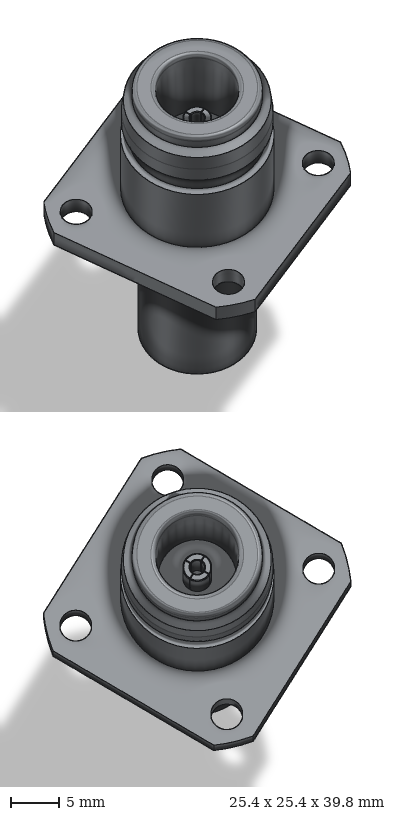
import cadquery as cq


flange_width = 25.4
flange_thickness = 2.05
flange_corner_radius = 16.0
hole_spacing = 18.3
hole_diameter = 3.3

top_z = 18.6
nose_radius = 6.75
nose_edge_round = 0.5
shoulder_top_z = 17.1
shoulder_bottom_z = 16.55
shoulder_radius = 7.65
thread_radius = 7.85
thread_start_z = 14.85
thread_end_z = 13.05
neck_top_z = 12.3
neck_radius = 7.15
body_radius = 7.95
body_top_z = 10.8

tail_radius = 6.3
tail_end_z = -6.7
tail_end_round = 0.55
ferrule_radius = 6.15
ferrule_end_z = -21.2

bore_mouth_radius = 4.3
bore_mouth_round = 0.5
bore_floor_radius = 4.07
bore_depth = 9.0
contact_radius = 1.5
contact_socket_radius = 0.75
contact_tip_depth = 5.0
contact_slot_width = 0.1
contact_tip_chamfer = 0.1


def make_outer_body():
    """Turned outside profile, revolved about Z."""
    profile = (
        cq.Workplane("XZ")
        .moveTo(0, ferrule_end_z)
        .lineTo(ferrule_radius, ferrule_end_z)
        .lineTo(ferrule_radius, tail_end_z)
        .lineTo(tail_radius - tail_end_round, tail_end_z)
        .radiusArc((tail_radius, tail_end_z + tail_end_round), -tail_end_round)
        .lineTo(tail_radius, 0)
        .lineTo(body_radius, 0)
        .lineTo(body_radius, body_top_z)
        .lineTo(neck_radius, body_top_z)
        .lineTo(neck_radius, neck_top_z)
        .lineTo(thread_radius, thread_end_z)
        .lineTo(thread_radius, thread_start_z)
        .lineTo(shoulder_radius, shoulder_bottom_z)
        .lineTo(nose_radius, shoulder_top_z)
        .lineTo(nose_radius, top_z - nose_edge_round)
        .radiusArc((nose_radius - nose_edge_round, top_z), -nose_edge_round)
        .lineTo(0, top_z)
        .close()
    )
    return profile.revolve(360, (0, 0, 0), (0, 1, 0))


def make_flange():
    """Square plate with trimmed corners and four mounting holes."""
    plate = cq.Workplane("XY").rect(flange_width, flange_width).extrude(flange_thickness)
    corner_trim = cq.Workplane("XY").circle(flange_corner_radius).extrude(flange_thickness)
    holes = (
        cq.Workplane("XY")
        .rect(hole_spacing, hole_spacing, forConstruction=True)
        .vertices()
        .circle(hole_diameter / 2)
        .extrude(flange_thickness)
    )
    return plate.intersect(corner_trim).cut(holes)


def make_bore():
    """Tapered blind bore with a rounded mouth."""
    floor_z = top_z - bore_depth
    profile = (
        cq.Workplane("XZ")
        .moveTo(0, floor_z)
        .lineTo(bore_floor_radius, floor_z)
        .lineTo(bore_mouth_radius, top_z - bore_mouth_round)
        .radiusArc((bore_mouth_radius + bore_mouth_round, top_z), bore_mouth_round)
        .lineTo(0, top_z)
        .close()
    )
    return profile.revolve(360, (0, 0, 0), (0, 1, 0))


def make_contact():
    """Slotted centre socket standing on the bore floor."""
    height = bore_depth - contact_tip_depth
    floor = cq.Workplane("XY", origin=(0, 0, top_z - bore_depth))
    contact = floor.circle(contact_radius).circle(contact_socket_radius).extrude(height)
    contact = contact.faces(">Z").edges().chamfer(contact_tip_chamfer)
    for angle in (0, 90):
        slot = floor.rect(2 * contact_radius, contact_slot_width).extrude(height)
        contact = contact.cut(slot.rotate((0, 0, 0), (0, 0, 1), angle))
    return contact


result = make_outer_body().union(make_flange()).cut(make_bore()).union(make_contact())